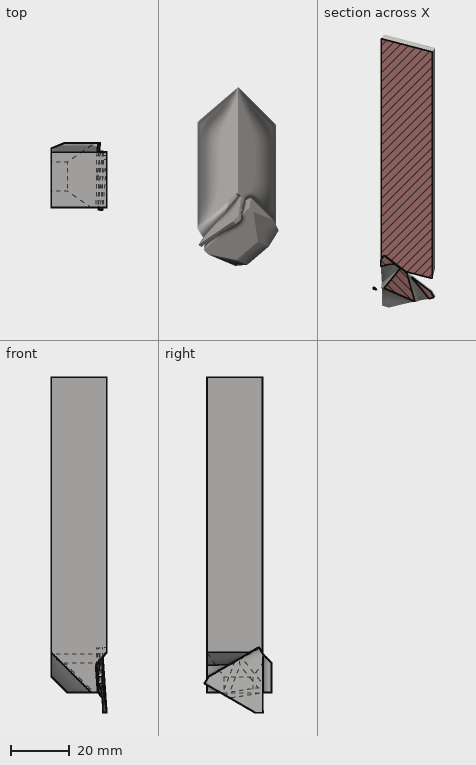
import cadquery as cq
import math

TOP_Z = 114.4
BOTTOM_Z = 6.9
SHANK = 19.0
HEAD_STEP = 3.1
HEAD_TOP_Z = 17.0
HEAD_BACK_Y = SHANK + HEAD_STEP

EDGE_BEVEL = 5.5
CORNER_BEVEL = 13.7
CORNER_BEVEL_DEPTH = 5.7
BACK_BEVEL_START_Y = 15.7
BACK_BEVEL_DEPTH = HEAD_BACK_Y - BACK_BEVEL_START_Y
BEVEL_GAIN = (CORNER_BEVEL - EDGE_BEVEL) / CORNER_BEVEL_DEPTH

SHOULDER_TOP_Z = 20.6
SHOULDER_INNER_X = 14.6
SHOULDER_INNER_Z = 15.6

TIPS = 3
TIP_TURN = 360 / TIPS
INSERT_INRADIUS = 7.1
TIP_REACH = 10.8
INSERT_THICKNESS = 2.0

RELIEF_END_DEPTH = 0.6
RELIEF_LAND = (3.3, 1.0)
RELIEF_ROOT = (4.7, 1.1)

BEVEL_FOOT = 5.3
BEVEL_RUN = 2.1
BEVEL_PIVOT_X = -3.4
BEVEL_SKEW = 9.0

SEAT_X = 16.0
SEAT_Y = 12.1
SEAT_DRIFT_Y = 0.04
SEAT_DRIFT_Z = -0.07
SEAT_TILT = cq.Plane(
    origin=(0, 0, 0),
    xDir=(SEAT_DRIFT_Y, 1, 0),
    normal=(1, -SEAT_DRIFT_Y, -SEAT_DRIFT_Z),
)
SEAT_Z = TIP_REACH * SEAT_TILT.yDir.z - RELIEF_END_DEPTH * SEAT_TILT.zDir.z
SEAT_PLANE = cq.Plane(
    origin=(SEAT_X, SEAT_Y, SEAT_Z),
    xDir=SEAT_TILT.xDir,
    normal=SEAT_TILT.zDir,
)

CLEAR = 34.3


def corner_bevel(y_faded, y_outer, outer_bevel):
    """Solid removed at a lower corner, widening from the edge bevel to the outer face."""
    def section(y, bevel):
        corners = [(0, BOTTOM_Z), (bevel, BOTTOM_Z), (0, BOTTOM_Z + bevel)]
        return cq.Wire.makePolygon([cq.Vector(x, y, z) for x, z in corners], close=True)

    ends = [section(y_faded, EDGE_BEVEL), section(y_outer, outer_bevel)]
    return cq.Workplane(cq.Solid.makeLoft(ends, True))


def insert_outline():
    """Closed triangular outline with each corner cut by the flat end of a tip."""
    half_angle = math.radians(TIP_TURN / 2)
    flat_start = 2 * (math.sin(half_angle) * TIP_REACH - INSERT_INRADIUS)
    points = []
    for tip in range(TIPS):
        turn = math.radians(tip * TIP_TURN)
        for x, y in [(flat_start, -TIP_REACH), (INSERT_INRADIUS, -TIP_REACH)]:
            points.append((
                x * math.cos(turn) - y * math.sin(turn),
                x * math.sin(turn) + y * math.cos(turn),
            ))
    return cq.Workplane("XY").polyline(points).close()


def on_seat(shape):
    """Move a shape from the origin onto the tilted seat plane."""
    return cq.Workplane(shape.val().moved(SEAT_PLANE.location))


def make_holder():
    side = [
        (0, BOTTOM_Z),
        (HEAD_BACK_Y, BOTTOM_Z),
        (HEAD_BACK_Y, HEAD_TOP_Z),
        (SHANK, HEAD_TOP_Z + HEAD_STEP),
        (SHANK, TOP_Z),
        (0, TOP_Z),
    ]
    body = cq.Workplane("YZ").polyline(side).close().extrude(SHANK)

    edge_bevel = (
        cq.Workplane("XZ")
        .polyline([(0, BOTTOM_Z), (EDGE_BEVEL, BOTTOM_Z), (0, BOTTOM_Z + EDGE_BEVEL)])
        .close()
        .extrude(-HEAD_BACK_Y)
    )
    back_bevel = EDGE_BEVEL + BEVEL_GAIN * BACK_BEVEL_DEPTH
    body = body.cut(edge_bevel)
    body = body.cut(corner_bevel(CORNER_BEVEL_DEPTH, 0, CORNER_BEVEL))
    body = body.cut(corner_bevel(BACK_BEVEL_START_Y, HEAD_BACK_Y, back_bevel))

    beyond_seat = on_seat(cq.Workplane("XY").rect(2 * CLEAR, 2 * CLEAR).extrude(CLEAR))
    below_shoulder = (
        cq.Workplane("XZ")
        .polyline([
            (SHOULDER_INNER_X, 0),
            (SHOULDER_INNER_X, SHOULDER_INNER_Z),
            (SHANK, SHOULDER_TOP_Z),
            (SHANK, 0),
        ])
        .close()
        .extrude(-CLEAR)
    )
    behind_shank = cq.Workplane("XZ", origin=(0, SHANK, 0)).rect(2 * CLEAR, 2 * CLEAR).extrude(-CLEAR)
    body = body.cut(beyond_seat.intersect(below_shoulder))
    body = body.cut(beyond_seat.intersect(behind_shank))

    return body.cut(on_seat(insert_outline().extrude(CLEAR)))


def tip_relief():
    """Solid removed under the tip that points along -Y in the seat plane."""
    root_depth = RELIEF_ROOT[1]
    breaks = [(0, 0), (0, RELIEF_END_DEPTH), RELIEF_LAND, RELIEF_ROOT, (TIP_REACH, root_depth), (TIP_REACH, 0)]
    stepped = (
        cq.Workplane("YZ")
        .polyline([(back - TIP_REACH, depth) for back, depth in breaks])
        .close()
        .extrude(CLEAR, both=True)
    )
    foot_y = BEVEL_FOOT - TIP_REACH
    bevelled = (
        cq.Workplane("YZ")
        .polyline([(-CLEAR, 0), (-CLEAR, root_depth), (foot_y, root_depth), (foot_y + BEVEL_RUN, 0)])
        .close()
        .extrude(CLEAR, both=True)
        .rotate((BEVEL_PIVOT_X, foot_y, 0), (BEVEL_PIVOT_X, foot_y, 1), BEVEL_SKEW)
    )
    return stepped.intersect(bevelled)


def make_insert():
    plate = insert_outline().extrude(INSERT_THICKNESS)
    relief = tip_relief()
    for tip in range(TIPS):
        plate = plate.cut(relief.rotate((0, 0, 0), (0, 0, 1), tip * TIP_TURN))
    return on_seat(plate)


holder = make_holder()
insert = make_insert()
result = cq.Compound.makeCompound([*holder.solids().vals(), *insert.solids().vals()])